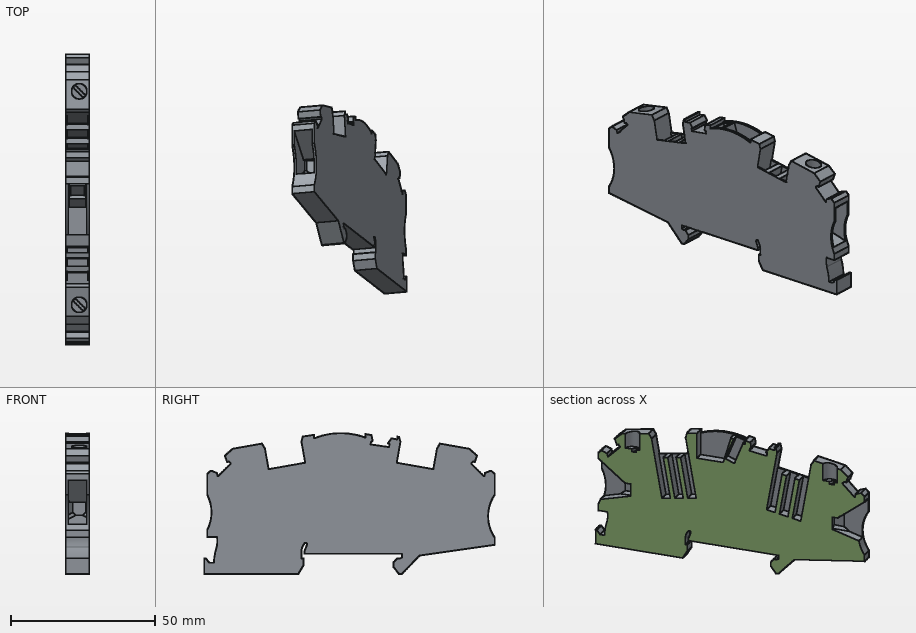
import cadquery as cq
import math

THICKNESS = 8.2
END_Y = 49.9
FOOT_Y = -50.9
WAIST_TOP_Z = 27.5
FRONT_WAIST_BOTTOM_Z = 15.2
BACK_WAIST_BOTTOM_Z = 12.6
FRONT_WAIST_MIDDLE = (-48.4, 21.4)
BACK_WAIST_MIDDLE = (47.6, 20.1)
RAIL_Z = 7.0
CROWN = (-3.4, 48.9)
DOME_FRONT = (-12.8, 47.1)
DOME_BACK = (5.0, 47.4)

SCREW_X = 0.6
SCREW_Y = 37.0
SCREW_DIAMETER = 5.3
SCREW_HEAD_Z = 38.3
SCREW_SLOT_WIDTH = 1.1
SCREW_SLOT_DEPTH = 1.0
SCREW_SLOT_ANGLE = -45.0
TOWER_TOP_Z = 45.4

TROUGH_ANGLE = 10.0
TROUGH_OUTER = (28.5, 36.4)
TROUGH_LENGTH = 12.8
TOWER_WALL = 7.2
CENTRE_WALL = 7.4

SHAFT_COUNT = 3
SHAFT_WIDTH = 7.1
SHAFT_LENGTH = 3.0
SHAFT_PITCH = (TROUGH_LENGTH - SHAFT_LENGTH) / (SHAFT_COUNT - 1)
SHAFT_DEPTH = 15.1

ENTRY_WIDTH = 6.6
ENTRY_BOTTOM_Z = 17.0
ENTRY_TOP_Z = 32.6
ENTRY_DEPTH = 12.1
ENTRY_LIP_DEPTH = 10.1
THROAT_BOTTOM_Z = 20.4
THROAT_TOP_Z = 24.8
THROAT_HALF_WIDTH = 2.2
THROAT_CHAMFER = 1.0
ENTRY_SPREAD = 6.4
CHAMFER_DROP = 3.4

WINDOW_WIDTH = 6.4
WINDOW_FLOOR_Z = 38.9
WINDOW_HEIGHT = 11.1
LEVER_WIDTH = 5.7
LEVER_TOP_Y = -0.2
LEVER_FOOT_Y = -3.1
LEVER_TOP_Z = 48.7
LEVER_BACK_Z = 47.1
LEVER_HOLE_WIDTH = 4.8
LEVER_HOLE_LENGTH = 3.5
LEVER_HOLE_Y = 2.6
LEVER_HOLE_DEPTH = 8.6
LEVER_HOLE_TILT = 22.0


def trough_point(along, above):
    """Point at a distance along the trough floor from its outer corner and square above it."""
    angle = math.radians(TROUGH_ANGLE)
    y, z = TROUGH_OUTER
    return (
        y - along * math.cos(angle) + above * math.sin(angle),
        z + along * math.sin(angle) + above * math.cos(angle),
    )


END_OUTLINE = [
    (END_Y, WAIST_TOP_Z),
    (END_Y, 34.7),
    (48.6, 35.9),
    (46.5, 35.1),
    (46.2, 33.9),
    (41.6, 38.3),
    (42.3, 39.0),
    (42.9, 38.7),
    (43.7, 41.0),
    (41.0, 43.4),
    (30.8, 45.3),
    trough_point(0, TOWER_WALL),
    TROUGH_OUTER,
    trough_point(TROUGH_LENGTH, 0),
    trough_point(TROUGH_LENGTH, CENTRE_WALL),
]

BACK_CATCH = [
    (16.7, 47.6),
    (16.1, 47.7),
    (16.0, 46.7),
    (14.0, 47.1),
    (12.8, 45.3),
    (13.3, 45.1),
    (13.2, 44.0),
    (6.9, 45.0),
    (7.0, 45.8),
    (7.6, 46.2),
    (7.2, 48.2),
    (5.0, 48.6),
    DOME_BACK,
]

FRONT_CATCH = [
    (-12.8, 48.3),
    (-16.7, 47.7),
]

HOLLOW_UPPER = [(-46.5, 12.8), (-46.4, 11.3), (-46.6, 9.5)]
HOLLOW_LOWER = [HOLLOW_UPPER[-1], (-47.2, 7.2), (-47.6, 3.9)]

LONG_FOOT = [
    (-49.1, 3.9),
    (-50.3, 5.4),
    (FOOT_Y, 5.4),
    (FOOT_Y, 0),
    (-18.2, 0),
    (-16.4, 3.0),
    (-16.4, 5.4),
    (-17.1, 5.4),
]
CLAMP_SLOT = [(-17.1, 7.8), (-16.8, 9.3), (-16.0, 10.7)]

RAIL_AND_HOOK = [
    (-15.4, 10.7),
    (-15.2, 10.3),
    (-16.1, 8.0),
    (-16.1, RAIL_Z),
    (17.6, RAIL_Z),
    (17.6, 5.7),
    (16.8, 5.3),
    (16.0, 5.4),
    (14.7, 4.0),
    (14.7, 2.4),
    (16.6, 0),
    (17.6, 0),
    (23.8, 6.4),
    (END_Y, 10.1),
    (END_Y, BACK_WAIST_BOTTOM_Z),
]


def mirrored(points):
    return [(-y, z) for y, z in points]


def line_through(wire, points):
    for y, z in points:
        wire = wire.lineTo(y, z)
    return wire


def across(wire, width):
    """Extrude a closed YZ outline by width, centred on X = 0."""
    return wire.extrude(width / 2, both=True)


def build_body():
    wire = cq.Workplane("YZ").moveTo(*END_OUTLINE[0])
    wire = line_through(wire, END_OUTLINE[1:])
    wire = line_through(wire, BACK_CATCH)
    wire = wire.threePointArc(CROWN, DOME_FRONT)
    wire = line_through(wire, FRONT_CATCH)
    wire = line_through(wire, reversed(mirrored(END_OUTLINE)))
    wire = wire.threePointArc(FRONT_WAIST_MIDDLE, (-END_Y, FRONT_WAIST_BOTTOM_Z))
    wire = wire.lineTo(-END_Y, HOLLOW_UPPER[0][1])
    wire = wire.lineTo(*HOLLOW_UPPER[0])
    wire = wire.threePointArc(*HOLLOW_UPPER[1:])
    wire = wire.threePointArc(*HOLLOW_LOWER[1:])
    wire = line_through(wire, LONG_FOOT)
    wire = wire.lineTo(*CLAMP_SLOT[0])
    wire = wire.threePointArc(*CLAMP_SLOT[1:])
    wire = line_through(wire, RAIL_AND_HOOK)
    wire = wire.threePointArc(BACK_WAIST_MIDDLE, END_OUTLINE[0])
    return across(wire.close(), THICKNESS)


def screw_hole(y):
    """Vertical bore down to a slotted screw head."""
    bore = (
        cq.Workplane("XY", origin=(SCREW_X, y, SCREW_HEAD_Z))
        .circle(SCREW_DIAMETER / 2)
        .extrude(TOWER_TOP_Z - SCREW_HEAD_Z)
    )
    slot = (
        cq.Workplane("XY", origin=(SCREW_X, y, SCREW_HEAD_Z))
        .transformed(rotate=(0, 0, SCREW_SLOT_ANGLE))
        .rect(SCREW_DIAMETER, SCREW_SLOT_WIDTH)
        .extrude(-SCREW_SLOT_DEPTH)
    )
    head = (
        cq.Workplane("XY", origin=(SCREW_X, y, SCREW_HEAD_Z))
        .circle(SCREW_DIAMETER / 2)
        .extrude(-SCREW_SLOT_DEPTH)
    )
    return bore.union(slot.intersect(head))


def bridge_shafts():
    """Deep slots square to the back trough, the first one starting at its outer corner."""
    shafts = cq.Workplane("XY")
    for i in range(SHAFT_COUNT):
        shaft = (
            cq.Workplane("XY")
            .box(SHAFT_WIDTH, SHAFT_LENGTH, SHAFT_DEPTH, centered=(True, False, False))
            .translate((0, -SHAFT_LENGTH - i * SHAFT_PITCH, -SHAFT_DEPTH))
        )
        shafts = shafts.add(shaft)
    return (
        shafts.combine()
        .rotate((0, 0, 0), (1, 0, 0), -TROUGH_ANGLE)
        .translate((0, *TROUGH_OUTER))
    )


def entry_section(y, half_width, chamfer_width, chamfer_z, bottom_z):
    """Funnel cross-section with chamfered lower corners."""
    flat = half_width - chamfer_width
    points = [
        (-half_width, ENTRY_TOP_Z),
        (-half_width, chamfer_z),
        (-flat, bottom_z),
        (flat, bottom_z),
        (half_width, chamfer_z),
        (half_width, ENTRY_TOP_Z),
    ]
    vectors = [cq.Vector(SCREW_X + x, y, z) for x, z in points]
    return cq.Wire.makePolygon(vectors, close=True)


def wire_entry():
    """Straight-sided mouth in the back end face, narrowing to an off-centre throat."""
    throat_y = END_Y - ENTRY_DEPTH
    throat_chamfer_z = THROAT_BOTTOM_Z + THROAT_CHAMFER
    mouth = entry_section(
        END_Y,
        THROAT_HALF_WIDTH + ENTRY_SPREAD,
        THROAT_CHAMFER,
        throat_chamfer_z - CHAMFER_DROP,
        ENTRY_BOTTOM_Z,
    )
    throat = entry_section(
        throat_y, THROAT_HALF_WIDTH, THROAT_CHAMFER, throat_chamfer_z, THROAT_BOTTOM_Z
    )
    funnel = cq.Workplane(cq.Solid.makeLoft([mouth, throat], True))
    side = [
        (END_Y, ENTRY_BOTTOM_Z),
        (END_Y, ENTRY_TOP_Z),
        (END_Y - ENTRY_LIP_DEPTH, THROAT_TOP_Z),
        (throat_y, THROAT_TOP_Z),
        (throat_y, ENTRY_BOTTOM_Z),
    ]
    envelope = across(cq.Workplane("YZ").polyline(side).close(), ENTRY_WIDTH)
    return funnel.intersect(envelope)


def dome_window():
    front_y = DOME_FRONT[0]
    back_y = DOME_BACK[0]
    return (
        cq.Workplane("XY")
        .box(WINDOW_WIDTH, back_y - front_y, WINDOW_HEIGHT, centered=(True, False, False))
        .translate((0, front_y, WINDOW_FLOOR_Z))
    )


def lever_block():
    """Wedge-topped lever standing in the window, with a tilted tool hole."""
    side = [
        (LEVER_FOOT_Y, WINDOW_FLOOR_Z),
        (LEVER_TOP_Y, LEVER_TOP_Z),
        (DOME_BACK[0], LEVER_BACK_Z),
        (DOME_BACK[0], WINDOW_FLOOR_Z),
    ]
    block = across(cq.Workplane("YZ").polyline(side).close(), LEVER_WIDTH)
    top_z = LEVER_TOP_Z + (LEVER_BACK_Z - LEVER_TOP_Z) * (
        (LEVER_HOLE_Y - LEVER_TOP_Y) / (DOME_BACK[0] - LEVER_TOP_Y)
    )
    hole = (
        cq.Workplane("XY")
        .box(LEVER_HOLE_WIDTH, LEVER_HOLE_LENGTH, 2 * LEVER_HOLE_DEPTH)
        .rotate((0, 0, 0), (1, 0, 0), -LEVER_HOLE_TILT)
        .translate((0, LEVER_HOLE_Y, top_z))
    )
    return block.cut(hole)


result = build_body()

for screw_y in (SCREW_Y, -SCREW_Y):
    result = result.cut(screw_hole(screw_y))

for recess in (bridge_shafts(), wire_entry()):
    result = result.cut(recess).cut(recess.mirror("XZ"))

result = result.cut(dome_window()).union(lever_block())